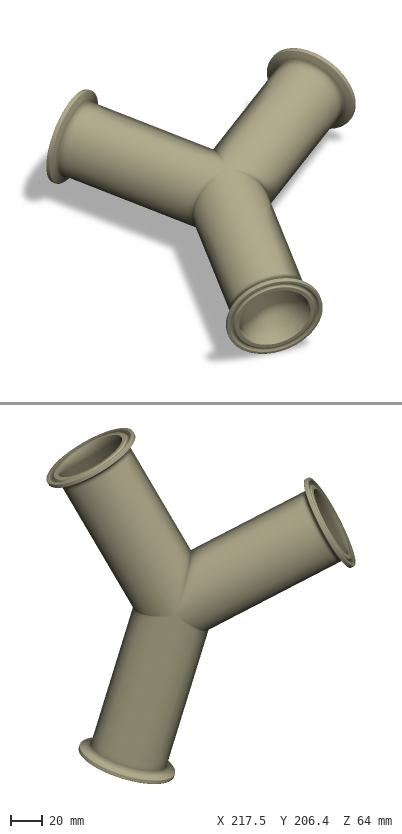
import cadquery as cq
import math

PIPE_DIAMETER = 50.7
BORE_DIAMETER = 47.5
PIPE_RADIUS = PIPE_DIAMETER / 2
BORE_RADIUS = BORE_DIAMETER / 2

BRANCH_ANGLES = (0, 135, 225)

OVERALL_LENGTH = 217.5

FERRULE_LENGTH = 13.0
FLANGE_DIAMETER = 64.0
RIM_THICKNESS = 2.8
RIM_ROUND = 0.5
BACK_SLOPE = 20
NECK_FILLET = 1.5

GROOVE_DIAMETER = 56.3
GROOVE_WIDTH = 3.0
GROOVE_DEPTH = 1.3
GROOVE_EDGE_ROUND = 0.5

FLANGE_RADIUS = FLANGE_DIAMETER / 2

DIAGONAL = math.sqrt(0.5)
RIM_CORNER_LOSS = RIM_ROUND * (math.sqrt(2) - 1)
ARM_LENGTH = (OVERALL_LENGTH + RIM_CORNER_LOSS - FLANGE_RADIUS * DIAGONAL) / (1 + DIAGONAL)
BRANCH_LENGTH = ARM_LENGTH - FERRULE_LENGTH


def turn(body, angle):
    """Turn a body about the vertical axis through the junction."""
    return body.rotate((0, 0, 0), (0, 0, 1), angle)


class CircleOnAxis(cq.Selector):
    """Selects the circular edge of the given radius centred on the X axis at x."""

    TOLERANCE = 0.002

    def __init__(self, x, radius):
        self.x = x
        self.radius = radius

    def matches(self, edge):
        return (
            edge.geomType() == "CIRCLE"
            and abs(edge.radius() - self.radius) < self.TOLERANCE
            and abs(edge.arcCenter().x - self.x) < self.TOLERANCE
        )

    def filter(self, edges):
        return [edge for edge in edges if self.matches(edge)]


def branch_sector(angle):
    """Prism bounded by the mitre planes halfway to the two neighbouring branches."""
    index = BRANCH_ANGLES.index(angle)
    following = BRANCH_ANGLES[(index + 1) % len(BRANCH_ANGLES)]
    previous = BRANCH_ANGLES[index - 1]
    half_gap_after = ((following - angle) % 360) / 2
    half_gap_before = ((angle - previous) % 360) / 2
    reach = 4 * ARM_LENGTH
    corners = [(0, 0)]
    for direction in (angle - half_gap_before, angle, angle + half_gap_after):
        heading = math.radians(direction)
        corners.append((reach * math.cos(heading), reach * math.sin(heading)))
    return cq.Workplane("XY").polyline(corners).close().extrude(PIPE_DIAMETER, both=True)


def make_branch(angle):
    """Straight tube, mitred at the junction."""
    overrun = PIPE_DIAMETER
    tube = (
        cq.Workplane("YZ", origin=(-overrun, 0, 0))
        .circle(PIPE_RADIUS)
        .circle(BORE_RADIUS)
        .extrude(overrun + BRANCH_LENGTH)
    )
    return turn(tube, angle).intersect(branch_sector(angle))


def make_ferrule(angle):
    """Short tube with a clamp flange and a round-bottomed gasket groove."""
    rim_back = ARM_LENGTH - RIM_THICKNESS
    slope_run = (FLANGE_RADIUS - PIPE_RADIUS) * math.tan(math.radians(BACK_SLOPE))
    body = (
        cq.Workplane("XY")
        .moveTo(BRANCH_LENGTH, BORE_RADIUS)
        .lineTo(BRANCH_LENGTH, PIPE_RADIUS)
        .lineTo(rim_back - slope_run, PIPE_RADIUS)
        .lineTo(rim_back, FLANGE_RADIUS)
        .lineTo(ARM_LENGTH, FLANGE_RADIUS)
        .lineTo(ARM_LENGTH, BORE_RADIUS)
        .close()
        .revolve(360, (0, 0, 0), (1, 0, 0))
    )
    neck_circle = CircleOnAxis(rim_back - slope_run, PIPE_RADIUS)
    body = body.edges(neck_circle).fillet(NECK_FILLET)
    for rim_x in (rim_back, ARM_LENGTH):
        body = body.edges(CircleOnAxis(rim_x, FLANGE_RADIUS)).fillet(RIM_ROUND)
    groove_radius = GROOVE_DIAMETER / 2
    groove = (
        cq.Workplane("XY")
        .moveTo(ARM_LENGTH, groove_radius - GROOVE_WIDTH / 2)
        .threePointArc(
            (ARM_LENGTH - GROOVE_DEPTH, groove_radius),
            (ARM_LENGTH, groove_radius + GROOVE_WIDTH / 2),
        )
        .close()
        .revolve(360, (0, 0, 0), (1, 0, 0))
    )
    body = body.cut(groove)
    for edge_radius in (groove_radius - GROOVE_WIDTH / 2, groove_radius + GROOVE_WIDTH / 2):
        body = body.edges(CircleOnAxis(ARM_LENGTH, edge_radius)).fillet(GROOVE_EDGE_ROUND)
    return turn(body, angle)


branches = [make_branch(angle).val() for angle in BRANCH_ANGLES]
ferrules = [make_ferrule(angle).val() for angle in BRANCH_ANGLES]

result = cq.Compound.makeCompound([*branches, *ferrules])